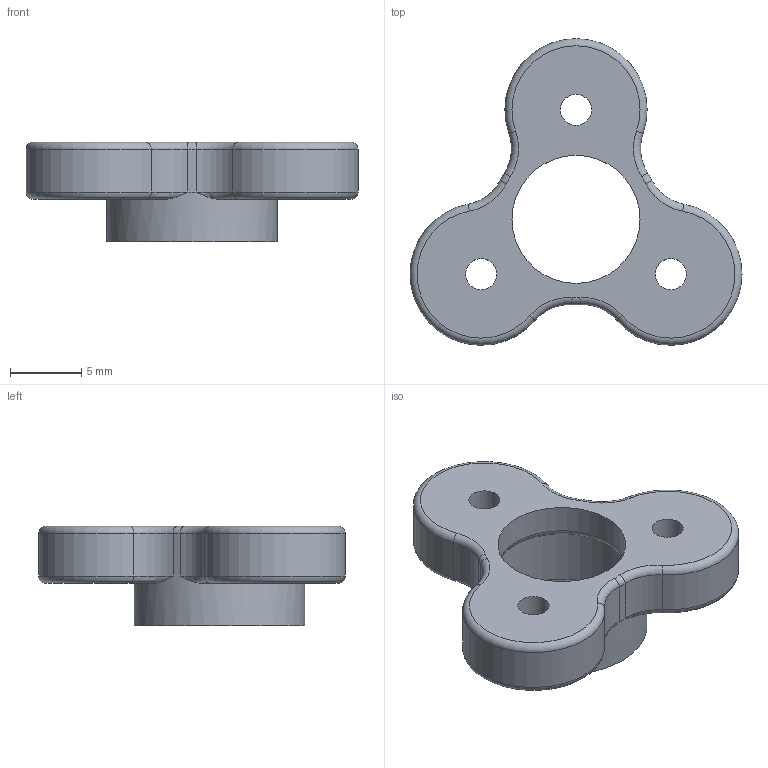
import cadquery as cq
import math

LOBE_COUNT = 3
LOBE_PITCH_RADIUS = 7.7
LOBE_RADIUS = 5.0
LOBE_HOLE_DIAMETER = 2.2
HUB_RADIUS = 6.0
WAIST_RADIUS = 3.175
PLATE_THICKNESS = 4.0
TOTAL_HEIGHT = 7.0
EDGE_ROUND = 0.5
LIP_DIAMETER = 9.0
LIP_THICKNESS = 2.5
SEAT_DIAMETER = 10.0
MOUTH_CHAMFER = 0.5

PLATE_BOTTOM = TOTAL_HEIGHT - PLATE_THICKNESS
SEAT_DEPTH = TOTAL_HEIGHT - LIP_THICKNESS
LOBE_STEP = 360.0 / LOBE_COUNT
FIRST_LOBE_ANGLE = 90.0
LOBE_ANGLES = [FIRST_LOBE_ANGLE + i * LOBE_STEP for i in range(LOBE_COUNT)]


def polar(radius, angle):
    """Point at a radius and an angle in degrees about the part axis."""
    return (radius * math.cos(math.radians(angle)), radius * math.sin(math.radians(angle)))


def toward(start, end, distance):
    """Point on the line from start to end, at a distance from start."""
    ratio = distance / math.dist(start, end)
    return (start[0] + ratio * (end[0] - start[0]), start[1] + ratio * (end[1] - start[1]))


def waist_offset_angle():
    """Angle between a lobe and the centre of its waist arc, seen from the part axis.

    The waist arc touches both the hub and the lobe circle from outside,
    so all three sides of the triangle between the centres are known.
    """
    to_hub = HUB_RADIUS + WAIST_RADIUS
    to_lobe = LOBE_RADIUS + WAIST_RADIUS
    cosine = (LOBE_PITCH_RADIUS**2 + to_hub**2 - to_lobe**2) / (2 * LOBE_PITCH_RADIUS * to_hub)
    return math.degrees(math.acos(cosine))


def waist_points(lobe_angle, waist_angle):
    """Hub end, middle and lobe end of one waist arc."""
    axis = (0.0, 0.0)
    lobe = polar(LOBE_PITCH_RADIUS, lobe_angle)
    centre = polar(HUB_RADIUS + WAIST_RADIUS, waist_angle)
    hub_end = toward(centre, axis, WAIST_RADIUS)
    lobe_end = toward(centre, lobe, WAIST_RADIUS)
    chord_middle = ((hub_end[0] + lobe_end[0]) / 2, (hub_end[1] + lobe_end[1]) / 2)
    return hub_end, toward(centre, chord_middle, WAIST_RADIUS), lobe_end


def plate_outline():
    """Closed outline: lobes joined by waist arcs and short hub arcs, anticlockwise."""
    offset = waist_offset_angle()
    start = polar(HUB_RADIUS, LOBE_ANGLES[0] - offset)
    outline = cq.Workplane("XY").workplane(offset=PLATE_BOTTOM).moveTo(*start)
    for angle in LOBE_ANGLES:
        _, entry_middle, lobe_start = waist_points(angle, angle - offset)
        hub_start, exit_middle, lobe_end = waist_points(angle, angle + offset)
        lobe_tip = polar(LOBE_PITCH_RADIUS + LOBE_RADIUS, angle)
        hub_middle = polar(HUB_RADIUS, angle + LOBE_STEP / 2)
        hub_end = polar(HUB_RADIUS, angle + LOBE_STEP - offset)
        outline = outline.threePointArc(entry_middle, lobe_start)
        outline = outline.threePointArc(lobe_tip, lobe_end)
        outline = outline.threePointArc(exit_middle, hub_start)
        outline = outline.threePointArc(hub_middle, hub_end)
    return outline.close()


def rounded_plate():
    """Three-lobed plate with its top and bottom rims rounded."""
    return plate_outline().extrude(PLATE_THICKNESS).faces("|Z").edges().fillet(EDGE_ROUND)


def hub():
    """Round boss below the plate, carried up inside it to the start of the top rounding."""
    return cq.Workplane("XY").circle(HUB_RADIUS).extrude(TOTAL_HEIGHT - EDGE_ROUND)


def centre_bore():
    """Stepped bore: seat from below with a chamfered mouth, then a lip with a rounded inner edge.

    The half profile is drawn as (radius, height) and turned about the part axis.
    """
    lip_radius = LIP_DIAMETER / 2
    seat_radius = SEAT_DIAMETER / 2
    lip_round = seat_radius - lip_radius
    arc_inset = lip_round * (1 - math.sqrt(0.5))
    profile = (
        cq.Workplane("XZ")
        .lineTo(seat_radius + MOUTH_CHAMFER, 0)
        .lineTo(seat_radius, MOUTH_CHAMFER)
        .lineTo(seat_radius, SEAT_DEPTH)
        .threePointArc(
            (lip_radius + arc_inset, SEAT_DEPTH + arc_inset),
            (lip_radius, SEAT_DEPTH + lip_round),
        )
        .lineTo(lip_radius, TOTAL_HEIGHT)
        .lineTo(0, TOTAL_HEIGHT)
        .close()
    )
    return profile.revolve(360, (0, 0, 0), (0, 1, 0))


def lobe_holes():
    """One through hole at the centre of each lobe."""
    centres = [polar(LOBE_PITCH_RADIUS, angle) for angle in LOBE_ANGLES]
    plane = cq.Workplane("XY").workplane(offset=PLATE_BOTTOM)
    return plane.pushPoints(centres).circle(LOBE_HOLE_DIAMETER / 2).extrude(PLATE_THICKNESS)


result = rounded_plate().union(hub()).cut(centre_bore()).cut(lobe_holes())